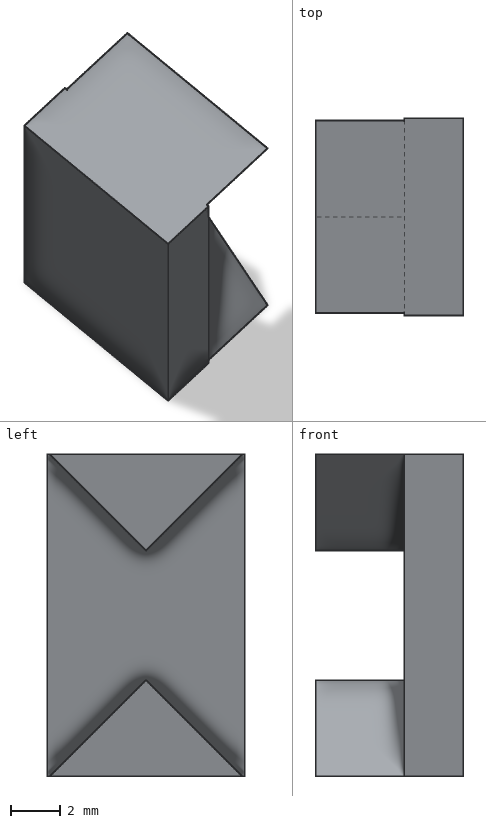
import cadquery as cq

height = 13.06
width = 8.0
total_depth = 6.0
plate_thickness = 2.4

wedge_height = 3.9
wedge_half_base = wedge_height
wedge_length = total_depth - plate_thickness


def wedge(edge_z, tip_z):
    """Triangular prism from the plate toward -X, its flat side at edge_z."""
    return (
        cq.Workplane("YZ")
        .moveTo(-wedge_half_base, edge_z)
        .lineTo(wedge_half_base, edge_z)
        .lineTo(0, tip_z)
        .close()
        .extrude(-wedge_length)
    )


plate = cq.Workplane("XY").box(plate_thickness, width, height, centered=(False, True, False))

lower_wedge = wedge(0, wedge_height)
upper_wedge = wedge(height, height - wedge_height)

result = plate.union(lower_wedge).union(upper_wedge)